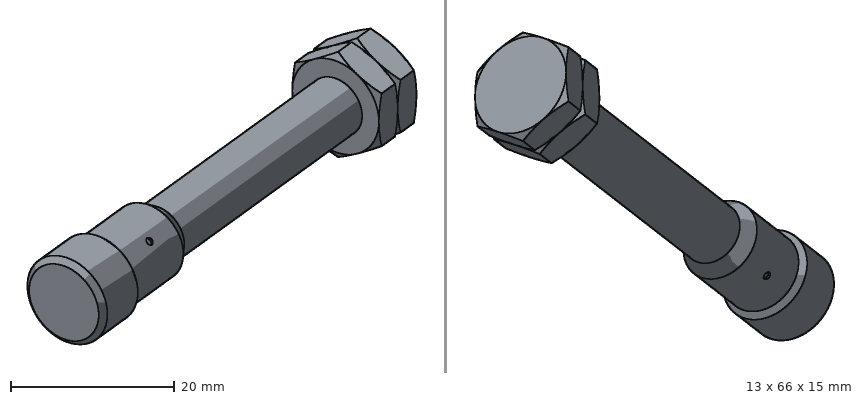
import cadquery as cq
import math

length = 66.0
rod_diameter = 8.0
sleeve_diameter = 10.5
head_diameter = 12.0
across_flats = 13.0
nut_thickness = 4.0
nut_count = 2
nut_chamfer_angle = 30.0

cone_start = 46.0
sleeve_start = 48.0
sleeve_end = 58.0
end_chamfer_length = 0.7
end_chamfer_width = 0.8

hole_diameter = 1.0
hole_depth = 0.3
hole_count = 4
hole_first_angle = 45.0
hole_station = (sleeve_start + sleeve_end) / 2

rod_radius = rod_diameter / 2
sleeve_radius = sleeve_diameter / 2
head_radius = head_diameter / 2
head_start = sleeve_end + head_radius - sleeve_radius
across_corners = across_flats / math.cos(math.radians(30))


def make_shank():
    """Turned rod, sleeve and head, with its axis along Z and the nut end at the origin."""
    return (
        cq.Workplane("XZ")
        .moveTo(0, 0)
        .lineTo(rod_radius, 0)
        .lineTo(rod_radius, cone_start)
        .lineTo(sleeve_radius, sleeve_start)
        .lineTo(sleeve_radius, sleeve_end)
        .lineTo(head_radius, head_start)
        .lineTo(head_radius, length - end_chamfer_length)
        .lineTo(head_radius - end_chamfer_width, length)
        .lineTo(0, length)
        .close()
        .revolve(360, (0, 0), (0, 1))
    )


def make_nut():
    """Hexagon with corners on X, its corners cut by a cone at both faces."""
    flat_radius = across_flats / 2
    corner_radius = across_corners / 2
    chamfer_height = (corner_radius - flat_radius) * math.tan(math.radians(nut_chamfer_angle))
    hexagon = cq.Workplane("XY").polygon(6, across_corners).extrude(nut_thickness)
    envelope = (
        cq.Workplane("XZ")
        .moveTo(0, 0)
        .lineTo(flat_radius, 0)
        .lineTo(corner_radius, chamfer_height)
        .lineTo(corner_radius, nut_thickness - chamfer_height)
        .lineTo(flat_radius, nut_thickness)
        .lineTo(0, nut_thickness)
        .close()
        .revolve(360, (0, 0), (0, 1))
    )
    return hexagon.intersect(envelope).rotate((0, 0, 0), (0, 0, 1), 90)


def make_hole(angle):
    """Cutter for one shallow radial hole in the sleeve."""
    return (
        cq.Workplane("YZ")
        .workplane(offset=sleeve_radius - hole_depth)
        .center(0, hole_station)
        .circle(hole_diameter / 2)
        .extrude(2 * hole_depth)
        .rotate((0, 0, 0), (0, 0, 1), angle)
    )


bolt = make_shank()
for index in range(nut_count):
    bolt = bolt.union(make_nut().translate((0, 0, index * nut_thickness)))
for index in range(hole_count):
    bolt = bolt.cut(make_hole(hole_first_angle + index * 360 / hole_count))

result = bolt.rotate((0, 0, 0), (1, 0, 0), 90).translate((0, length / 2, 0))